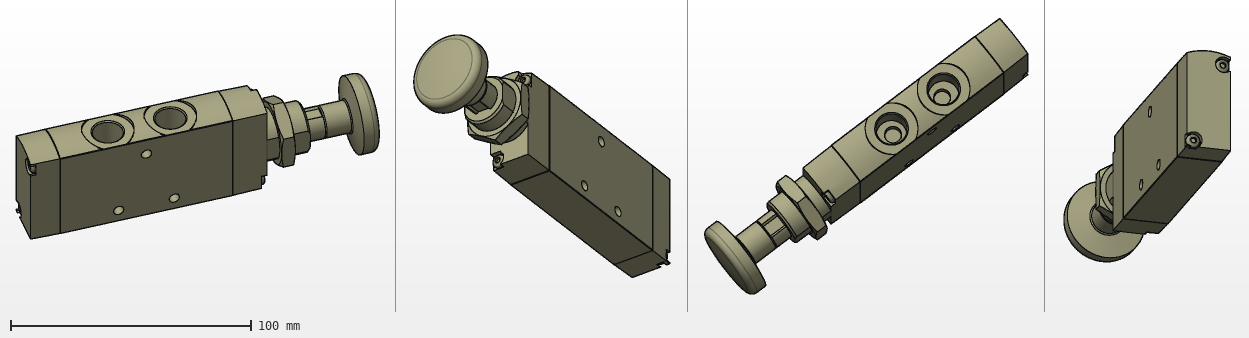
import cadquery as cq
import math

total_length = 152.3

body_width = 19.8
body_height = 43.7
crown_rise = 1.8
body_start = 12.8
body_end = 88.6
body_edge_chamfer = 0.23
rear_cap_end = 103.7
joint_inset = 0.2
cap_end_inset = 0.38

port_middle = (body_start + body_end) / 2
port_offset = 13.7
port_diameter = 13.0
port_rim_diameter = 14.0
port_depth = 13.7
spotface_diameter = 22.0
spotface_depth = 1.8
passage_offset = 13.0
passage_diameter = 7.0
passage_depth = 4.5

mount_diameter = 4.4
mount_low_offset = 12.2
mount_low_z = 6.0
mount_high_z = 34.0

screw_x = 6.4
screw_low_z = 3.5
screw_high_z = 38.2
recess_diameter = 6.9
recess_depth = 2.5
head_diameter = 6.0
head_height = 1.8
head_round = 1.2
socket_diameter = 2.5
socket_depth = 1.2
side_slot_width = 5.2
notch_edge_x = 4.5

axis_z = 21.0
neck_diameter = 22.1
neck_flats = body_width - 2 * cap_end_inset
neck_end = 122.6
neck_chamfer = 0.9
nut_start = 108.7
nut_thickness = 6.1
nut_flats = 27.1
nut_face_diameter = 26.8
nut_chamfer_angle = 20.0

knob_diameter = 33.8
stem_diameter = 14.0
stem_top = 141.5
knob_root_diameter = 15.2
knob_root_y = 142.0
rim_start = 143.8
rim_end = 148.3
rim_round = 2.9
groove_y = 130.2
groove_width = 0.6
groove_depth = 0.3
slot_top_width = 9.1
slot_floor_width = 5.0
slot_depth = 1.7


def section_plane(y):
    """Plane across the part at y, with local axes along X and Z and its normal toward -Y."""
    return cq.Workplane("XZ", origin=(0, y, 0))


def arched_section(plane, inset, crown_inset):
    """Arched outline of the valve body, set in at the sides and base, and by crown_inset on top."""
    half = body_width / 2 - inset
    shoulder = body_height - crown_rise - crown_inset
    return (
        plane.moveTo(-half, inset)
        .lineTo(half, inset)
        .lineTo(half, shoulder)
        .threePointArc((0, body_height - crown_inset), (-half, shoulder))
        .close()
    )


def tapered_block(joint_y, end_y, joint_crown_inset, end_crown_inset):
    """Block of a cap, narrowing from its joint with the valve body to its free end."""
    joint = arched_section(section_plane(joint_y), joint_inset, joint_crown_inset)
    end_plane = joint.workplane(offset=joint_y - end_y)
    return arched_section(end_plane, cap_end_inset, end_crown_inset).loft(ruled=True)


def disc(x, z, diameter, y_from, y_to):
    """Cylinder along Y."""
    return section_plane(y_to).center(x, z).circle(diameter / 2).extrude(y_to - y_from)


def make_valve_body():
    body = arched_section(section_plane(body_end), 0, 0).extrude(body_end - body_start)
    body = body.edges().chamfer(body_edge_chamfer)

    port_face = body_height - spotface_depth
    rim_chamfer = (port_rim_diameter - port_diameter) / 2
    port_floor = port_face - port_depth
    for side in (-1, 1):
        port_plane = cq.Workplane("XY", origin=(0, port_middle + side * port_offset, port_face))
        spotface = port_plane.circle(spotface_diameter / 2).extrude(spotface_depth)
        port = port_plane.circle(port_diameter / 2).extrude(-port_depth)
        rim = (
            port_plane.circle(port_rim_diameter / 2)
            .workplane(offset=-rim_chamfer)
            .circle(port_diameter / 2)
            .loft()
        )
        passage = (
            cq.Workplane("XY", origin=(0, port_middle + side * passage_offset, port_floor))
            .circle(passage_diameter / 2)
            .extrude(-passage_depth)
        )
        body = body.cut(spotface).cut(port).cut(rim).cut(passage)

    mount_points = [
        (port_middle, mount_high_z),
        (port_middle - mount_low_offset, mount_low_z),
        (port_middle + mount_low_offset, mount_low_z),
    ]
    mount_holes = (
        cq.Workplane("YZ")
        .pushPoints(mount_points)
        .circle(mount_diameter / 2)
        .extrude(body_width, both=True)
    )
    return body.cut(mount_holes)


def make_screw_head():
    """Socket head standing on z = 0."""
    head = cq.Workplane("XY").circle(head_diameter / 2).extrude(head_height)
    head = head.faces(">Z").edges().fillet(head_round)
    return head.faces(">Z").workplane().hole(socket_diameter, socket_depth)


def make_front_cap():
    cap = tapered_block(body_start, 0, 0, 0)
    head = make_screw_head().rotate((0, 0, 0), (1, 0, 0), 90)
    for x_side, z in ((1, screw_high_z), (-1, screw_low_z)):
        x = x_side * screw_x
        side_slot = (
            section_plane(recess_depth)
            .center(x_side * (screw_x + recess_diameter / 2), z)
            .rect(recess_diameter, side_slot_width)
            .extrude(recess_depth)
        )
        cap = cap.cut(disc(x, z, recess_diameter, 0, recess_depth)).cut(side_slot)
        cap = cap.union(head.translate((x, recess_depth, z)))
    return cap


def make_corner_notch(x_side, z, z_side):
    """Box that opens a rear recess through the nearby corner of the cap."""
    reach = body_width
    low_z = z - z_side * recess_diameter / 2
    return (
        cq.Workplane("XY")
        .box(reach, recess_depth, reach)
        .translate((
            x_side * (notch_edge_x + reach / 2),
            rear_cap_end - recess_depth / 2,
            low_z + z_side * reach / 2,
        ))
    )


def make_neck():
    neck = disc(0, axis_z, neck_diameter, rear_cap_end, neck_end)
    neck = neck.faces(">Y").edges().chamfer(neck_chamfer)
    flats = (
        section_plane(neck_end)
        .center(0, axis_z)
        .rect(neck_flats, neck_diameter)
        .extrude(neck_end - rear_cap_end)
    )
    return neck.intersect(flats)


def make_rear_cap():
    cap = tapered_block(body_end, rear_cap_end, joint_inset, cap_end_inset)
    head = make_screw_head().rotate((0, 0, 0), (1, 0, 0), -90)
    recess_floor = rear_cap_end - recess_depth
    for x_side, z, z_side in ((-1, screw_high_z, 1), (1, screw_low_z, -1)):
        x = x_side * screw_x
        cap = cap.cut(disc(x, z, recess_diameter, recess_floor, rear_cap_end))
        cap = cap.cut(make_corner_notch(x_side, z, z_side))
        cap = cap.union(head.translate((x, recess_floor, z)))
    return cap.union(make_neck())


def make_nut():
    """Hexagon nut with its corners toward +Z and -Z, turned down at both faces."""
    corner_radius = nut_flats / math.sqrt(3)
    face_radius = nut_face_diameter / 2
    chamfer_height = (corner_radius - face_radius) * math.tan(math.radians(nut_chamfer_angle))
    nut_end = nut_start + nut_thickness
    hexagon = (
        section_plane(nut_end)
        .center(0, axis_z)
        .transformed(rotate=(0, 0, 90))
        .polygon(6, 2 * corner_radius)
        .extrude(nut_thickness)
    )
    turned = (
        disc(0, axis_z, 2 * corner_radius, nut_start, nut_end)
        .faces("<Y or >Y")
        .edges()
        .chamfer(chamfer_height, corner_radius - face_radius)
    )
    bore = disc(0, axis_z, neck_diameter, nut_start, nut_end)
    return hexagon.intersect(turned).cut(bore)


def make_knob():
    """Domed knob and its stem, turned about the Y axis and then slotted."""
    stem_radius = stem_diameter / 2
    rim_radius = knob_diameter / 2
    dome_radius = rim_radius - rim_round
    dome_start = rim_end + rim_round
    dome_rise = total_length - dome_start
    dome_sphere = (dome_radius**2 + dome_rise**2) / (2 * dome_rise)
    arc_x = dome_radius / 2
    arc_y = total_length - dome_sphere + math.sqrt(dome_sphere**2 - arc_x**2)
    round_step = rim_round * math.sqrt(0.5)

    knob = (
        cq.Workplane("XY")
        .moveTo(0, neck_end)
        .lineTo(stem_radius, neck_end)
        .lineTo(stem_radius, groove_y)
        .lineTo(stem_radius - groove_depth, groove_y)
        .lineTo(stem_radius, groove_y + groove_width)
        .lineTo(stem_radius, stem_top)
        .lineTo(knob_root_diameter / 2, knob_root_y)
        .lineTo(rim_radius, rim_start)
        .lineTo(rim_radius, rim_end)
        .threePointArc((dome_radius + round_step, rim_end + round_step), (dome_radius, dome_start))
        .threePointArc((arc_x, arc_y), (0, total_length))
        .close()
        .revolve(360, (0, 0, 0), (0, 1, 0))
    )

    floor_z = stem_radius - slot_depth
    slot = (
        section_plane(groove_y)
        .moveTo(-slot_floor_width / 2, floor_z)
        .lineTo(slot_floor_width / 2, floor_z)
        .lineTo(slot_top_width / 2, stem_radius)
        .lineTo(-slot_top_width / 2, stem_radius)
        .close()
        .extrude(groove_y - neck_end)
    )
    knob = knob.cut(slot).cut(slot.mirror("XY"))
    return knob.translate((0, 0, axis_z))


valve_body = make_valve_body()
front_cap = make_front_cap()
rear_cap = make_rear_cap()
nut = make_nut()
knob = make_knob()

result = cq.Compound.makeCompound(
    [valve_body.val(), front_cap.val(), rear_cap.val(), nut.val(), knob.val()]
)